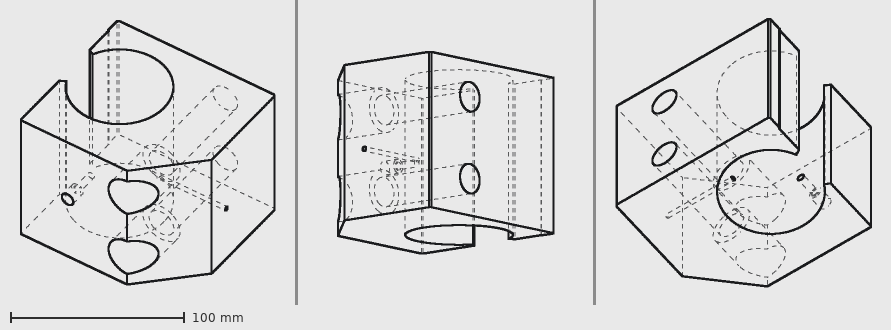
import cadquery as cq
import math

length = 110.0
depth = 100.0
height = 91.0
corner_bevel = 35.0
back_chamfer = 1.0
front_chamfer = 0.5

pad_width = 10.0
pad_rise = 0.5

bore_diameter = 62.0
bore_x = 32.0
bore_y = 55.0
lip_half_gap = 13.4
flare_angle = 30.0

bolt_diameter = 17.3
bolt_head_diameter = 26.0
bolt_head_depth = corner_bevel
bolt_spacing = 48.0
bolt_x = length - corner_bevel

screw_x = 33.4
screw_diameter = 4.2
screw_countersink_diameter = 5.1
screw_recess_diameter = 8.0
screw_recess_depth = 10.0

pin_diameter = 2.5
pin_y = depth / 2
pin_z = 40.0


def cylinder_along_y(x, z, diameter, end_y):
    """Round cutter running from the front face to end_y."""
    return cq.Workplane("XZ", origin=(x, 0, z)).circle(diameter / 2).extrude(-end_y)


def make_block():
    outline = [
        (pad_rise + front_chamfer, 0),
        (length - corner_bevel, 0),
        (length, corner_bevel),
        (length, depth - back_chamfer),
        (length - back_chamfer, depth),
        (back_chamfer, depth),
        (0, depth - back_chamfer),
        (0, depth - pad_width),
        (pad_rise, depth - pad_width),
        (pad_rise, front_chamfer),
    ]
    return cq.Workplane("XY").polyline(outline).close().extrude(height)


def make_bore():
    """Round bore joined to a mouth that flares out from the lip tips."""
    bore = cq.Workplane("XY").center(bore_x, bore_y).circle(bore_diameter / 2).extrude(height)
    lip_x = bore_x - math.sqrt((bore_diameter / 2) ** 2 - lip_half_gap ** 2)
    mouth_half_gap = lip_half_gap + lip_x * math.tan(math.radians(flare_angle))
    mouth_outline = [
        (0, bore_y - mouth_half_gap),
        (lip_x, bore_y - lip_half_gap),
        (bore_x, bore_y),
        (lip_x, bore_y + lip_half_gap),
        (0, bore_y + mouth_half_gap),
    ]
    mouth = cq.Workplane("XY").polyline(mouth_outline).close().extrude(height)
    return bore.union(mouth)


def make_bolt_hole(z):
    shank = cylinder_along_y(bolt_x, z, bolt_diameter, depth)
    head = cylinder_along_y(bolt_x, z, bolt_head_diameter, bolt_head_depth)
    return shank.union(head)


def make_screw_hole():
    """Recess, then a 45 degree countersink leading into the narrow hole, as one revolved profile."""
    countersink_depth = (screw_countersink_diameter - screw_diameter) / 2
    profile = [
        (0, 0),
        (screw_recess_diameter / 2, 0),
        (screw_recess_diameter / 2, screw_recess_depth),
        (screw_countersink_diameter / 2, screw_recess_depth),
        (screw_diameter / 2, screw_recess_depth + countersink_depth),
        (screw_diameter / 2, bore_y),
        (0, bore_y),
    ]
    cutter = cq.Workplane("XY").polyline(profile).close().revolve(360, (0, 0, 0), (0, 1, 0))
    return cutter.translate((screw_x, 0, height / 2))


def make_pin_hole():
    start = cq.Workplane("YZ", origin=(bore_x, pin_y, pin_z))
    return start.circle(pin_diameter / 2).extrude(length - bore_x)


result = make_block().cut(make_bore())
for side in (-1, 1):
    result = result.cut(make_bolt_hole(height / 2 + side * bolt_spacing / 2))
result = result.cut(make_screw_hole())
result = result.cut(make_pin_hole())